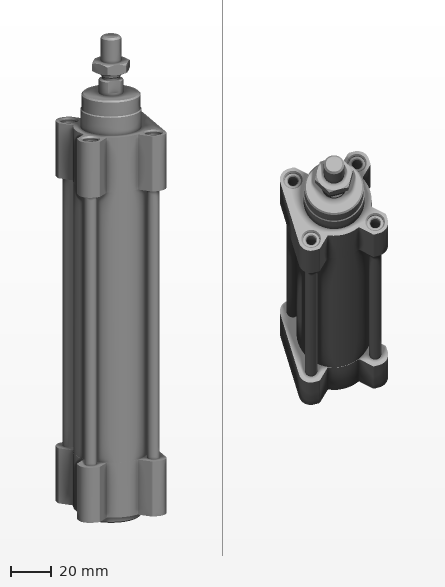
import cadquery as cq
import math

total_length = 245.0

cap_side = 45.0
cap_length = 28.2
cap_core_diameter = 37.0
ear_width = 12.5
ear_corner_radius = 6.0
ear_edge_radius = 1.2
ear_neck_radius = 0.7
position_tolerance = 0.02

tube_diameter = 36.8
tie_rod_diameter = 6.1
tie_rod_pitch = 32.5

bottom_boss_length = 4.0
boss_diameter = 30.0
bottom_boss_chamfer = 0.7

top_boss_length = 9.5
top_boss_chamfer = 0.5
collar_diameter = 29.0
collar_length = 7.8
collar_chamfer = 0.7

hole_mouth_diameter = 9.5
hole_mouth_depth = 0.7
socket_diameter = 8.0
socket_depth = 1.5
tap_mouth_diameter = 6.0
tap_diameter = 5.0
tap_depth = 16.0
drill_point_angle = 118.0

rod_diameter = 12.0
piston_rod_reach = 29.2
rod_exposed_length = 7.4
rod_flats_width = 10.0
rod_flats_length = 6.1
rod_socket_depth = 24.5
shoulder_chamfer = 0.5
thread_diameter = 10.0
thread_tip_chamfer = 1.0
relief_diameter = 8.5
relief_length = 1.0

lock_nut_width = 17.0
lock_nut_height = 5.1
lock_nut_drop = 12.7
lock_nut_chamfer_angle = 30.0

collar_top = total_length - piston_rod_reach
top_cap_top = collar_top - collar_length - top_boss_length
top_cap_bottom = top_cap_top - cap_length
bottom_cap_top = bottom_boss_length + cap_length
rod_shoulder = collar_top + rod_exposed_length
thread_bottom = rod_shoulder + relief_length
rod_bottom = collar_top - rod_socket_depth
lock_nut_top = total_length - lock_nut_drop
lock_nut_bottom = lock_nut_top - lock_nut_height

tie_rod_points = [(x * tie_rod_pitch / 2, y * tie_rod_pitch / 2) for x in (-1, 1) for y in (-1, 1)]


def cylinder(diameter, bottom, top):
    """Round bar on the main axis between two heights."""
    return cq.Workplane("XY").workplane(offset=bottom).circle(diameter / 2).extrude(top - bottom)


def fillet_upright_edges(solid, radius, belongs):
    """Round the vertical edges whose distances |x| and |y| from the axis pass the given test."""
    edges = solid.edges("|Z").filter(lambda e: belongs(abs(e.Center().x), abs(e.Center().y)))
    return solid.newObject(edges.vals()).fillet(radius)


def end_cap(bottom):
    """Round core with four diagonal ears, and a plain flat face on the +Y side."""
    half_side = cap_side / 2
    core_radius = cap_core_diameter / 2
    block = cq.Workplane("XY").rect(cap_side, cap_side).extrude(cap_length)

    bar_length = 2 * math.hypot(cap_side, cap_side)
    bar = cq.Workplane("XY").rect(bar_length, ear_width).extrude(cap_length)
    ears = bar.rotate((0, 0, 0), (0, 0, 1), 45).union(bar.rotate((0, 0, 0), (0, 0, 1), -45))
    ears = ears.intersect(block)

    half_gap = half_side - ear_width / math.sqrt(2)
    flat_side = (
        cq.Workplane("XY").center(0, half_side / 2).rect(2 * half_gap, half_side).extrude(cap_length)
    )
    cap = cylinder(cap_core_diameter, 0, cap_length).union(ears).union(flat_side)

    cap = fillet_upright_edges(
        cap, ear_corner_radius,
        lambda x, y: min(x, y) > core_radius,
    )
    cap = fillet_upright_edges(
        cap, ear_edge_radius,
        lambda x, y: max(x, y) > core_radius and abs(min(x, y) - half_gap) < position_tolerance,
    )
    cap = fillet_upright_edges(
        cap, ear_neck_radius,
        lambda x, y: (
            min(x, y) > position_tolerance
            and abs(math.hypot(x, y) - core_radius) < position_tolerance
        ),
    )
    return cap.translate((0, 0, bottom))


def tie_rods():
    """Four round rods joining the facing sides of the two caps."""
    return (
        cq.Workplane("XY").workplane(offset=bottom_cap_top)
        .pushPoints(tie_rod_points).circle(tie_rod_diameter / 2)
        .extrude(top_cap_bottom - bottom_cap_top)
    )


def bosses():
    """Centring boss below the bottom cap, and the boss and collar above the top cap."""
    bottom = cylinder(boss_diameter, 0, bottom_boss_length).faces("<Z").chamfer(bottom_boss_chamfer)
    top_boss_top = top_cap_top + top_boss_length
    top = cylinder(boss_diameter, top_cap_top, top_boss_top).faces(">Z").chamfer(top_boss_chamfer)
    collar = cylinder(collar_diameter, top_boss_top, collar_top).faces(">Z").chamfer(collar_chamfer)
    return bottom.union(top).union(collar)


def tapped_hole():
    """Material removed for one stepped hole, with z = 0 at the cap face."""
    tap_radius = tap_diameter / 2
    tap_mouth_radius = tap_mouth_diameter / 2
    tap_mouth_depth = tap_mouth_radius - tap_radius
    point_depth = tap_radius / math.tan(math.radians(drill_point_angle / 2))
    return (
        cq.Workplane("XZ")
        .moveTo(0, 0)
        .lineTo(hole_mouth_diameter / 2, 0)
        .lineTo(socket_diameter / 2, -hole_mouth_depth)
        .lineTo(socket_diameter / 2, -socket_depth)
        .lineTo(tap_mouth_radius, -socket_depth)
        .lineTo(tap_radius, -socket_depth - tap_mouth_depth)
        .lineTo(tap_radius, -tap_depth)
        .lineTo(0, -tap_depth - point_depth)
        .close()
        .revolve(360, (0, 0, 0), (0, 1, 0))
    )


def make_housing():
    body = cylinder(tube_diameter, bottom_cap_top, top_cap_bottom)
    body = body.union(end_cap(bottom_boss_length)).union(end_cap(top_cap_bottom))
    body = body.union(tie_rods()).union(bosses())
    hole = tapped_hole()
    for x, y in tie_rod_points:
        body = body.cut(hole.translate((x, y, top_cap_top)))
    return body.cut(cylinder(rod_diameter, rod_bottom, collar_top))


def make_piston_rod():
    rod = cylinder(rod_diameter, rod_bottom, rod_shoulder).faces(">Z").chamfer(shoulder_chamfer)
    flats_bottom = rod_shoulder - rod_flats_length
    side_cuts = (
        cq.Workplane("XY").workplane(offset=flats_bottom)
        .pushPoints([(side * (rod_flats_width + rod_diameter) / 2, 0) for side in (-1, 1)])
        .rect(rod_diameter, rod_diameter)
        .extrude(rod_flats_length)
    )
    relief = cylinder(relief_diameter, rod_shoulder, thread_bottom)
    thread = cylinder(thread_diameter, thread_bottom, total_length)
    thread = thread.faces(">Z").chamfer(thread_tip_chamfer)
    thread = thread.faces("<Z").chamfer((thread_diameter - relief_diameter) / 2)
    return rod.cut(side_cuts).union(relief).union(thread)


def make_lock_nut():
    corner_diameter = lock_nut_width / math.cos(math.radians(30))
    nut = (
        cq.Workplane("XY").workplane(offset=lock_nut_bottom)
        .polygon(6, corner_diameter).extrude(lock_nut_height)
        .rotate((0, 0, 0), (0, 0, 1), 30)
    )
    face_radius = lock_nut_width / 2
    corner_radius = corner_diameter / 2
    corner_drop = (corner_radius - face_radius) * math.tan(math.radians(lock_nut_chamfer_angle))
    trim = (
        cq.Workplane("XZ")
        .moveTo(0, lock_nut_bottom)
        .lineTo(face_radius, lock_nut_bottom)
        .lineTo(corner_radius, lock_nut_bottom + corner_drop)
        .lineTo(corner_radius, lock_nut_top - corner_drop)
        .lineTo(face_radius, lock_nut_top)
        .lineTo(0, lock_nut_top)
        .close()
        .revolve(360, (0, 0, 0), (0, 1, 0))
    )
    return nut.intersect(trim).cut(cylinder(thread_diameter, lock_nut_bottom, lock_nut_top))


housing = make_housing()
piston_rod = make_piston_rod()
lock_nut = make_lock_nut()

result = cq.Compound.makeCompound([housing.val(), piston_rod.val(), lock_nut.val()])